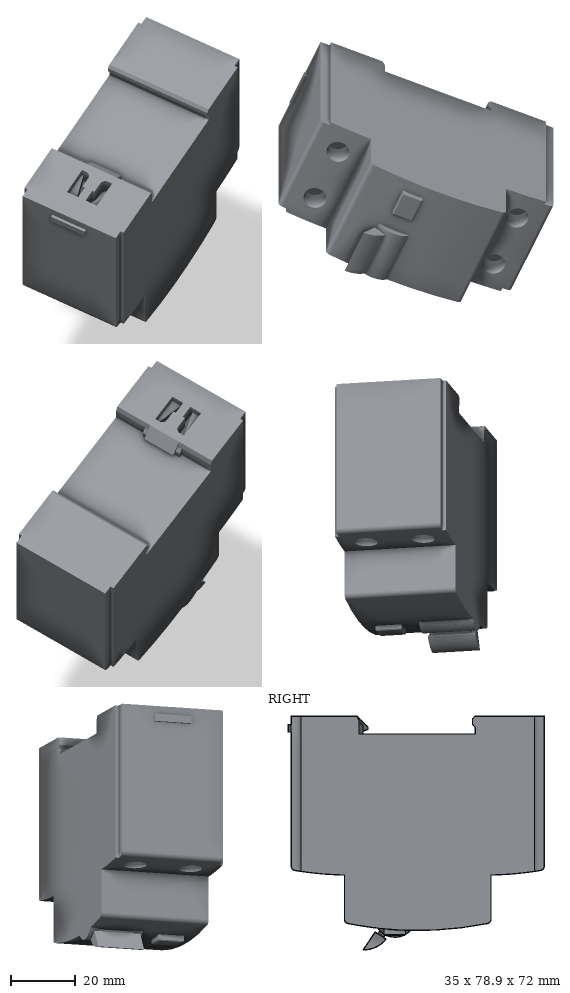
import cadquery as cq
import math


width = 35.0
length = 78.0
shoulder_tip_depth = 49.0
shoulder_arc_centre = 20.0
front_depth = 66.0
front_length = 45.2
arc_radius = 110.0
outer_fillet = 1.5

end_step_inset = 1.1
end_step_length = 3.0

rail_depth = 5.5
rail_wall = 17.7
hook_reach = 0.9
hook_start = 0.9
hook_end = 2.5
hook_root = 3.5
clip_wall = -18.0
clip_wall_lead = 0.7
clip_wall_lead_depth = 1.6

terminal_diameter = 7.0
terminal_x = 9.0
terminal_y = 30.0
terminal_depth = 8.0

hub_radius = 6.4
hub_y = -7.0
hub_depth = 61.7
hub_width = 17.1
hub_slot_floor = 5.5

lever_tilt = 33.5
lever_x = -9.0
neck_width = 12.0
neck_side = -0.65
neck_thickness = 2.1
handle_width = 14.9
handle_start = 7.3
handle_end = 14.02
handle_inner = -1.6
handle_outer = 2.5
handle_bulge = 0.9

button_x = 9.55
button_width = 8.2
button_length = 6.6
button_tip_depth = 67.5
button_recess_depth = 63.0
button_chamfer = 0.3

head_width = 10.6
head_end = -21.4
stem_width = 4.2
stem_fillet = 1.8
stem_end = -26.8
strip_width = 2.6
clip_pocket_end = -31.0
nose_y = -15.3
nose_top = 3.4
nose_bottom = 4.1
nose_root_y = -16.8
nose_root = 4.7
ear_span = 13.5
ear_top = 3.0
tail_width = 11.8
tail_thickness = 0.9
tail_top = 2.6
tail_bottom = 4.9

ledge_depth = 2.5
ledge_start_x = 4.85
ledge_end_x = 2.1

half_width = width / 2
half_length = length / 2
half_front = front_length / 2
clip_rim = clip_wall - clip_wall_lead


def arc_depth(tip_depth, centre, y):
    """Depth at y of a shallow arc that is deepest at its centre."""
    return tip_depth - arc_radius + math.sqrt(arc_radius**2 - (y - centre) ** 2)


def shoulder_point(y):
    return y, -arc_depth(shoulder_tip_depth, math.copysign(shoulder_arc_centre, y), y)


def front_point(y):
    return y, -arc_depth(front_depth, 0, y)


def prism(outline, x_size, x_centre=0.0):
    """Extrude an outline drawn on the YZ plane, centred on x_centre along X."""
    return outline.extrude(x_size / 2, both=True).translate((x_centre, 0, 0))


def slab(x_size, y_from, y_to, depth_from, depth_to, x_centre=0.0):
    """Block given by its Y range and its depth range below the rear face."""
    return cq.Workplane().box(x_size, abs(y_to - y_from), depth_to - depth_from).translate(
        (x_centre, (y_from + y_to) / 2, -(depth_from + depth_to) / 2)
    )


def block_edges(body, y, depth):
    """Edges along X near a given place in the side outline."""
    reach = 0.1
    box = cq.selectors.BoxSelector(
        (-width, y - reach, -depth - reach), (width, y + reach, -depth + reach)
    )
    return body.edges(box)


def housing_block():
    middle_shoulder = (half_length + half_front) / 2
    outline = (
        cq.Workplane("YZ")
        .moveTo(-half_length, 0)
        .lineTo(*shoulder_point(-half_length))
        .threePointArc(shoulder_point(-middle_shoulder), shoulder_point(-half_front))
        .lineTo(*front_point(-half_front))
        .threePointArc(front_point(0), front_point(half_front))
        .lineTo(*shoulder_point(half_front))
        .threePointArc(shoulder_point(middle_shoulder), shoulder_point(half_length))
        .lineTo(half_length, 0)
        .lineTo(rail_wall, 0)
        .lineTo(rail_wall - hook_reach, -hook_start)
        .lineTo(rail_wall - hook_reach, -hook_end)
        .lineTo(rail_wall, -hook_root)
        .lineTo(rail_wall, -rail_depth)
        .lineTo(clip_wall, -rail_depth)
        .lineTo(clip_wall, -clip_wall_lead_depth)
        .lineTo(clip_rim, 0)
        .close()
    )
    body = prism(outline, width)
    for side in (-1, 1):
        for y, z in (shoulder_point(side * half_length), front_point(side * half_front)):
            body = block_edges(body, y, -z).fillet(outer_fillet)
    return body


def end_steps():
    """Corner strips removed to narrow both ends of the housing."""
    strips = cq.Workplane()
    for x_side in (-1, 1):
        for y_side in (-1, 1):
            strips = strips.add(
                slab(
                    2 * end_step_inset,
                    y_side * (half_length - end_step_length),
                    y_side * (half_length + end_step_length),
                    -1,
                    front_depth,
                    x_side * half_width,
                )
            )
    return strips.combine()


def terminal_holes():
    places = [(x, y) for x in (-terminal_x, terminal_x) for y in (-terminal_y, terminal_y)]
    return (
        cq.Workplane()
        .workplane(offset=-front_depth)
        .pushPoints(places)
        .circle(terminal_diameter / 2)
        .extrude(front_depth - shoulder_tip_depth + terminal_depth)
    )


def lever_outline():
    """Start an outline across the lever: x runs towards -Y and y runs outwards along -Z."""
    return cq.Workplane(cq.Plane(origin=(0, 0, 0), xDir=(0, -1, 0), normal=(1, 0, 0)))


def place_on_hub(body):
    """Tilt a body drawn about the hub axis and move it to its place on the hub."""
    return body.rotate((0, 0, 0), (1, 0, 0), -lever_tilt).translate((lever_x, hub_y, -hub_depth))


def hub():
    """Round bulge with a slot, open towards -Y, in which the lever neck stands."""
    outline = cq.Workplane("YZ").center(hub_y, -hub_depth).circle(hub_radius)
    bulge = prism(outline, hub_width, (hub_width - width) / 2)
    slot_outline = (
        lever_outline()
        .moveTo(neck_side, hub_slot_floor)
        .rect(hub_radius, hub_radius, centered=False)
    )
    return bulge.cut(place_on_hub(prism(slot_outline, neck_width)))


def clip_pocket():
    """Pocket for the clip head and stem, with its slot out to the end face."""
    pocket = slab(head_width, clip_wall, clip_pocket_end, 0, rail_depth)
    slot = slab(strip_width, clip_pocket_end, -half_length, 0, rail_depth)
    return pocket.union(slot)


def guide_ledges():
    """Tapered steps that narrow the lower part of the pocket towards the slot."""
    ledge = (
        cq.Workplane()
        .workplane(offset=-rail_depth)
        .polyline(
            [
                (head_width / 2, head_end),
                (ledge_start_x, head_end),
                (ledge_end_x, clip_pocket_end),
                (head_width / 2, clip_pocket_end),
            ]
        )
        .close()
        .extrude(rail_depth - ledge_depth)
    )
    return ledge.union(ledge.mirror("YZ"))


def push_button():
    button = slab(
        button_width,
        hub_y - button_length / 2,
        hub_y + button_length / 2,
        button_recess_depth,
        button_tip_depth,
        button_x,
    )
    return button.faces("<Z").edges().chamfer(button_chamfer)


def handle_piece(x_size, x_centre=0.0):
    """Wedge with a curved underside."""
    outline = (
        lever_outline()
        .moveTo(handle_inner, handle_start)
        .lineTo(handle_outer, handle_start)
        .lineTo(handle_outer, handle_end)
        .sagittaArc((handle_inner, handle_start), -handle_bulge)
        .close()
    )
    return prism(outline, x_size, x_centre)


def lever_body():
    """Middle of the handle on the thin neck that carries it."""
    neck_outline = (
        lever_outline()
        .moveTo(neck_side, hub_slot_floor)
        .rect(neck_thickness, handle_start - hub_slot_floor, centered=False)
    )
    return place_on_hub(handle_piece(neck_width).union(prism(neck_outline, neck_width)))


def handle_cheek(side):
    """Outer slice of the handle, flush with the middle of the lever; side is -1 or 1 along X."""
    thickness = (handle_width - neck_width) / 2
    return place_on_hub(handle_piece(thickness, side * (neck_width + thickness) / 2))


def rail_clip():
    nose_outline = (
        cq.Workplane("YZ")
        .moveTo(clip_rim, 0)
        .lineTo(nose_y, -nose_top)
        .lineTo(nose_y, -nose_bottom)
        .lineTo(nose_root_y, -nose_root)
        .lineTo(nose_root_y, -rail_depth)
        .lineTo(clip_rim, -rail_depth)
        .close()
    )
    ear_outline = (
        cq.Workplane("YZ")
        .moveTo(nose_root_y, -rail_depth)
        .lineTo(nose_root_y, -ear_top)
        .lineTo(clip_wall, -ear_top - clip_wall + nose_root_y)
        .lineTo(clip_wall, -rail_depth)
        .close()
    )
    head = slab(head_width, clip_rim, head_end, 0, rail_depth)
    stem = slab(stem_width, head_end, stem_end, 0, rail_depth)
    body = prism(nose_outline, head_width).union(head).union(stem)
    for side in (-1, 1):
        corner = cq.selectors.NearestToPointSelector((side * stem_width / 2, head_end, -rail_depth / 2))
        body = body.edges("|Z").edges(corner).fillet(stem_fillet)
    strip = slab(strip_width, stem_end, -half_length, 0, rail_depth)
    tail = slab(tail_width, -half_length, -half_length - tail_thickness, tail_top, tail_bottom)
    return body.union(prism(ear_outline, ear_span)).union(strip).union(tail)


button = push_button()
lever = lever_body()
cheeks = [handle_cheek(side) for side in (-1, 1)]
clip = rail_clip()
housing = (
    housing_block()
    .cut(end_steps())
    .cut(terminal_holes())
    .union(hub())
    .cut(clip_pocket())
    .union(guide_ledges())
    .cut(button)
)

cheek_solids = [cheek.val() for cheek in cheeks]
result = cq.Compound.makeCompound(
    [housing.val(), clip.val(), lever.val(), *cheek_solids, button.val()]
)